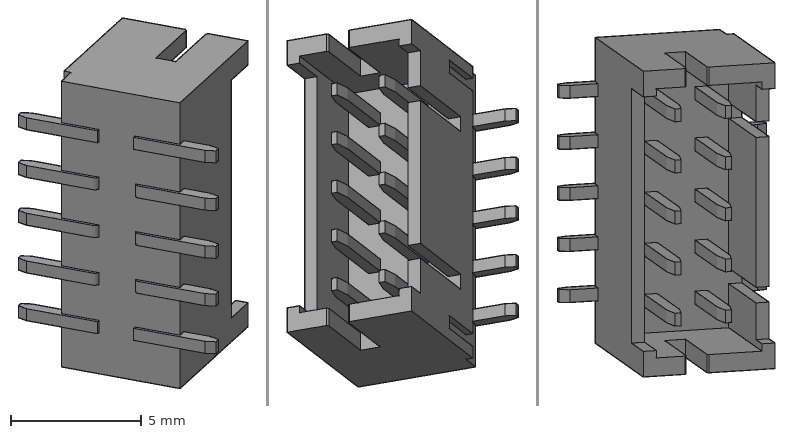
import cadquery as cq

body_width = 5.28
body_length = 12.0
body_height = 6.4
floor_thickness = 1.98
side_wall = 0.53
end_wall = 0.72

tab_length = 1.01
slit_wall_drop = 0.79
plain_wall_drop = 1.57

slit_width = 0.61
slit_to_end = 2.45

key_slot_left = 0.07
key_slot_width = 0.83
key_slot_depth = 2.92
key_slot_chamfer = 0.07

foot_depth = 0.3
groove_end_depth = 0.26
step_height = 0.9
groove_top = 2.99
groove_to_end = 0.48

pin_rows = 5
pin_pitch = 2.0
pin_size = 0.5
pin_drop = 0.13
tail_span = 8.3
post_gap = 1.51
post_height = 5.6
tail_tip_length = 0.4
post_tip_length = 0.66
tip_inset = 0.13
bend_radius = 0.2

half_width = body_width / 2
half_length = body_length / 2


def block(x_range, y_range, z_range):
    """Box spanning the given (low, high) range on each axis."""
    low, high = zip(x_range, y_range, z_range)
    size = [end - start for start, end in zip(low, high)]
    return cq.Workplane("XY").box(*size, centered=False).translate(low)


def make_shroud():
    """Open-topped box with end walls thicker than its long walls."""
    shroud = block((-half_width, half_width), (0, body_height), (-half_length, half_length))
    inner_x = half_width - side_wall
    inner_z = half_length - end_wall
    return shroud.cut(block((-inner_x, inner_x), (floor_thickness, body_height), (-inner_z, inner_z)))


def lower_long_walls(shroud):
    """Drop the rims of the two long walls between the corner tabs."""
    notch_z = half_length - tab_length
    for side, drop in ((-1, slit_wall_drop), (1, plain_wall_drop)):
        x_range = sorted((side * half_width, side * (half_width - side_wall)))
        shroud = shroud.cut(block(x_range, (body_height - drop, body_height), (-notch_z, notch_z)))
    return shroud


def cut_slits(shroud):
    """Cut the two slits in the -X wall down to the cavity floor."""
    slit = block(
        (-half_width, side_wall - half_width),
        (floor_thickness, body_height),
        (half_length - slit_to_end - slit_width, half_length - slit_to_end),
    )
    return shroud.cut(slit).cut(slit.mirror("XY"))


def cut_key_slot(shroud):
    """Cut the chamfered key slot through both end walls."""
    left = key_slot_left
    right = left + key_slot_width
    bottom = body_height - key_slot_depth
    shoulder = body_height - key_slot_chamfer
    slot = (
        cq.Workplane("XY", origin=(0, 0, -half_length))
        .moveTo(left, bottom)
        .lineTo(right, bottom)
        .lineTo(right, shoulder)
        .lineTo(right + key_slot_chamfer, body_height)
        .lineTo(left - key_slot_chamfer, body_height)
        .lineTo(left, shoulder)
        .close()
        .extrude(body_length)
    )
    return shroud.cut(slot)


def foot_cutter(top, z_range):
    """Cutter from the mounting face up to the given height, its floor leaning with the draft."""
    lean = (foot_depth - groove_end_depth) / groove_top
    bottom_x = foot_depth - half_width
    low_z, high_z = z_range
    return (
        cq.Workplane("XY", origin=(0, 0, low_z))
        .moveTo(-half_width, 0)
        .lineTo(bottom_x, 0)
        .lineTo(bottom_x - lean * top, top)
        .lineTo(-half_width, top)
        .close()
        .extrude(high_z - low_z)
    )


def cut_foot(shroud):
    """Cut the foot step, then the two relief grooves that run up from it."""
    step = foot_cutter(step_height, (-half_length, half_length))
    groove = foot_cutter(groove_top, (half_length - tab_length, half_length - groove_to_end))
    return shroud.cut(step).cut(groove).cut(groove.mirror("XY"))


def make_pin(rounded):
    """L-shaped contact on the +X side, centred on Z = 0, with both tips tapered."""
    inner = post_gap / 2
    outer = tail_span / 2
    low = -pin_drop
    high = low + pin_size
    tail_shoulder = outer - tail_tip_length
    post_shoulder = post_height - post_tip_length
    pin = (
        cq.Workplane("XY", origin=(0, 0, -pin_size / 2))
        .moveTo(inner, low)
        .lineTo(tail_shoulder, low)
        .lineTo(outer, low + tip_inset)
        .lineTo(outer, high - tip_inset)
        .lineTo(tail_shoulder, high)
        .lineTo(inner + pin_size, high)
        .lineTo(inner + pin_size, post_shoulder)
        .lineTo(inner + pin_size - tip_inset, post_height)
        .lineTo(inner + tip_inset, post_height)
        .lineTo(inner, post_shoulder)
        .close()
        .extrude(pin_size)
    )
    if rounded:
        pin = pin.edges(cq.selectors.NearestToPointSelector((inner, low, 0))).fillet(bend_radius)
    return pin


def add_pins(shroud):
    """Place both rows of contacts; only the end contacts have a square bend."""
    for row in range(pin_rows):
        is_end = row in (0, pin_rows - 1)
        height = (row - (pin_rows - 1) / 2) * pin_pitch
        pin = make_pin(rounded=not is_end).translate((0, 0, height))
        shroud = shroud.union(pin).union(pin.mirror("YZ"))
    return shroud


result = make_shroud()
result = lower_long_walls(result)
result = cut_slits(result)
result = cut_key_slot(result)
result = cut_foot(result)
result = add_pins(result)